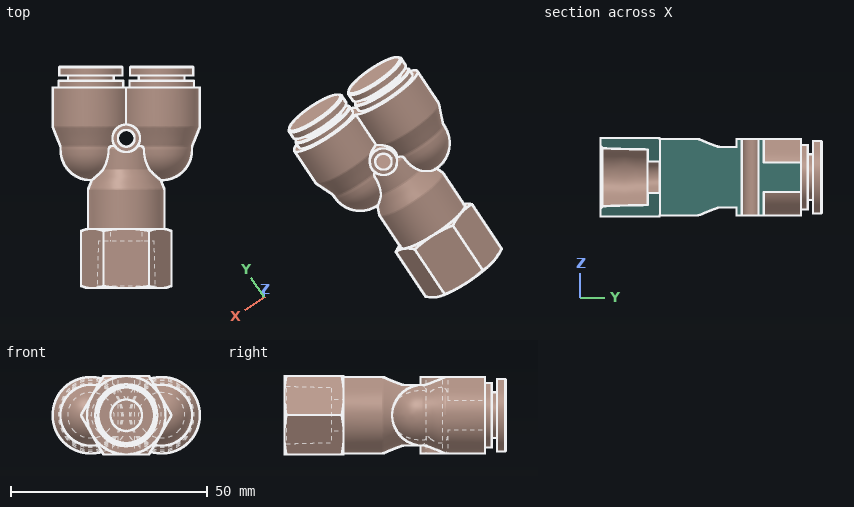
import cadquery as cq
import math

nut_flats = 20.0
nut_length = 15.1
nut_corners = nut_flats / math.cos(math.radians(30))
nut_bevel = 0.55
mouth_diameter = 15.8
bore_start_diameter = 14.7
bore_end_diameter = 14.1
bore_depth = 12.0
passage_diameter = 8.0

tube_diameter = 19.5
neck_diameter = 15.5
taper_length = 5.0
blend_radius = 1.0
trunk_taper_start = 25.1
trunk_taper_end = trunk_taper_start + taper_length
trunk_end = 36.15
trunk_end_radius = 1.0
branch_spacing = 18.0
branch_top = 51.05
branch_taper_start = 41.0
branch_taper_end = branch_taper_start - taper_length
dome_center = 35.15
position_tolerance = 0.01

eyelet_y = 38.1
eyelet_diameter = 7.0
eyelet_hole_diameter = 4.2
eyelet_height = tube_diameter

collar_diameter = 16.5
collar_length = 1.8
collar_chamfer = 0.2
ring_neck_diameter = 11.7
ring_top = 56.4
flange_width = 16.2
flange_height = 18.5
flange_thickness = 2.35
flange_chamfer = 0.35
collar_top = branch_top + collar_length
flange_bottom = ring_top - flange_thickness

branch_positions = [-branch_spacing / 2, branch_spacing / 2]


def plane_at(y, x=0.0):
    """Workplane across the Y axis whose normal points to +Y."""
    return cq.Workplane(cq.Plane(origin=(x, y, 0), xDir=(1, 0, 0), normal=(0, 1, 0)))


def revolve_about_y(profile):
    """Closed XY profile turned once around the Y axis."""
    return profile.close().revolve(360, (0, 0, 0), (0, 1, 0))


def tapered_tube(open_end, taper_start, taper_end, neck_end):
    """Tube that tapers down to a neck, with blended edges on both sides of the taper."""
    tube_radius = tube_diameter / 2
    neck_radius = neck_diameter / 2
    tube = revolve_about_y(
        cq.Workplane("XY")
        .moveTo(0, open_end)
        .lineTo(tube_radius, open_end)
        .lineTo(tube_radius, taper_start)
        .lineTo(neck_radius, taper_end)
        .lineTo(neck_radius, neck_end)
        .lineTo(0, neck_end)
    )
    taper_y = [taper_start, taper_end]
    taper_edges = tube.edges("%CIRCLE").filter(
        lambda edge: any(math.isclose(edge.Center().y, y, abs_tol=position_tolerance) for y in taper_y)
    )
    return taper_edges.fillet(blend_radius)


def make_trunk():
    trunk = tapered_tube(nut_length, trunk_taper_start, trunk_taper_end, trunk_end)
    return trunk.faces(">Y").edges().fillet(trunk_end_radius)


def make_branch(x):
    branch = tapered_tube(branch_top, branch_taper_start, branch_taper_end, dome_center)
    dome = plane_at(dome_center).sphere(neck_diameter / 2)
    return branch.union(dome).translate((x, 0, 0))


def make_body():
    body = make_trunk()
    for x in branch_positions:
        body = body.union(make_branch(x))
    eyelet = cq.Workplane("XY").circle(eyelet_diameter / 2).extrude(eyelet_height / 2, both=True)
    hole = cq.Workplane("XY").circle(eyelet_hole_diameter / 2).extrude(eyelet_height, both=True)
    return body.union(eyelet.translate((0, eyelet_y, 0))).cut(hole.translate((0, eyelet_y, 0)))


def make_nut():
    hexagon = plane_at(0).polygon(6, nut_corners).extrude(nut_length)
    face_radius = nut_flats / 2
    corner_radius = nut_corners / 2
    bevel_envelope = revolve_about_y(
        cq.Workplane("XY")
        .moveTo(0, 0)
        .lineTo(face_radius, 0)
        .lineTo(corner_radius, nut_bevel)
        .lineTo(corner_radius, nut_length - nut_bevel)
        .lineTo(face_radius, nut_length)
        .lineTo(0, nut_length)
    )
    mouth_depth = (mouth_diameter - bore_start_diameter) / 2
    socket = revolve_about_y(
        cq.Workplane("XY")
        .moveTo(0, 0)
        .lineTo(mouth_diameter / 2, 0)
        .lineTo(bore_start_diameter / 2, mouth_depth)
        .lineTo(bore_end_diameter / 2, bore_depth)
        .lineTo(0, bore_depth)
    )
    passage = plane_at(0).circle(passage_diameter / 2).extrude(nut_length)
    return hexagon.intersect(bevel_envelope).cut(socket).cut(passage)


def make_collar(x):
    collar = plane_at(branch_top, x).circle(collar_diameter / 2).extrude(collar_length)
    return collar.faces(">Y").edges().chamfer(collar_chamfer)


def make_release_ring(x):
    """Oval push flange on a round neck that stands on the collar."""
    neck = plane_at(collar_top, x).circle(ring_neck_diameter / 2).extrude(flange_bottom - collar_top)
    flange = (
        plane_at(flange_bottom, x)
        .ellipse(flange_width / 2, flange_height / 2)
        .extrude(flange_thickness)
        .faces(">Y")
        .edges()
        .chamfer(flange_chamfer)
    )
    return neck.union(flange)


body = make_body()
nut = make_nut()
collars = [make_collar(x) for x in branch_positions]
release_rings = [make_release_ring(x) for x in branch_positions]

result = cq.Compound.makeCompound([
    body.val(),
    nut.val(),
    *[collar.val() for collar in collars],
    *[ring.val() for ring in release_rings],
])